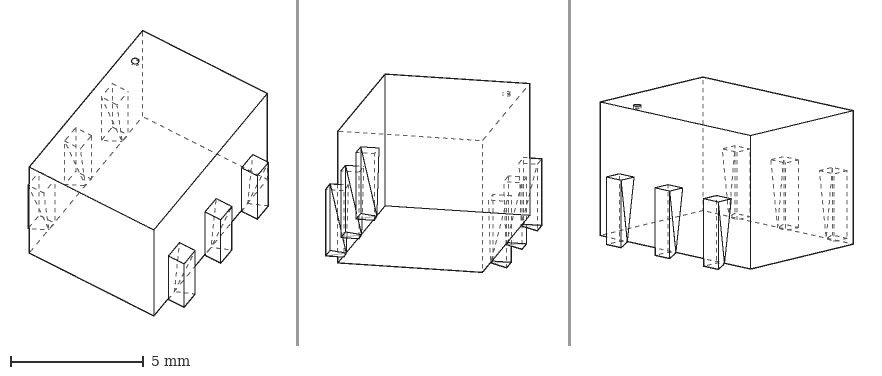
import cadquery as cq

overall_width = 7.01
overall_height = 5.24
housing_width = 5.60
housing_length = 7.87
standoff = 0.06
housing_height = overall_height - standoff

lead_pitch = 2.54
lead_rows = 3
lead_width = 0.77
lead_height = 2.62

corner_shift = 0.355
corner_rise = 0.045

marker_diameter = 0.28
marker_depth = 0.10
marker_x = -2.23
marker_y = lead_pitch


def make_marker():
    return (
        cq.Workplane("XY", origin=(marker_x, marker_y, overall_height - marker_depth))
        .circle(marker_diameter / 2)
        .extrude(marker_depth)
    )


def make_housing(marker):
    block = cq.Workplane("XY", origin=(0, 0, standoff)).box(
        housing_width, housing_length, housing_height, centered=(True, True, False)
    )
    return block.cut(marker)


def flat_face(*corners):
    return cq.Face.makeFromWires(cq.Wire.makePolygon(list(corners), close=True))


def make_lead():
    """Lead on the -X side, centred on Y = 0, with its lower -Y inner corner displaced."""
    outer_x = -overall_width / 2
    inner_x = -housing_width / 2
    front_y = -lead_width / 2
    back_y = lead_width / 2

    top_outer_front = cq.Vector(outer_x, front_y, lead_height)
    top_outer_back = cq.Vector(outer_x, back_y, lead_height)
    top_inner_front = cq.Vector(inner_x, front_y, lead_height)
    top_inner_back = cq.Vector(inner_x, back_y, lead_height)
    low_outer_front = cq.Vector(outer_x, front_y, 0)
    low_outer_back = cq.Vector(outer_x, back_y, 0)
    low_inner_back = cq.Vector(inner_x, back_y, 0)
    moved_corner = cq.Vector(inner_x, front_y + corner_shift, corner_rise)

    faces = [
        flat_face(top_outer_front, top_inner_front, top_inner_back, top_outer_back),
        flat_face(top_outer_front, top_outer_back, low_outer_back, low_outer_front),
        flat_face(top_outer_back, top_inner_back, low_inner_back, low_outer_back),
        flat_face(top_inner_front, moved_corner, low_inner_back, top_inner_back),
        flat_face(top_outer_front, moved_corner, top_inner_front),
        flat_face(top_outer_front, low_outer_front, moved_corner),
        flat_face(low_outer_front, low_outer_back, moved_corner),
        flat_face(low_outer_back, low_inner_back, moved_corner),
    ]
    return cq.Workplane(cq.Solid.makeSolid(cq.Shell.makeShell(faces)))


def make_leads():
    """Both rows of leads; the +X row is the -X row turned half a turn about Z."""
    leads = []
    for turn in (0, 180):
        for row in range(lead_rows):
            row_y = (row - (lead_rows - 1) / 2) * lead_pitch
            lead = make_lead().rotate((0, 0, 0), (0, 0, 1), turn).translate((0, row_y, 0))
            leads.append(lead.val())
    return leads


marker = make_marker()
housing = make_housing(marker)
leads = make_leads()

result = cq.Compound.makeCompound([housing.val(), marker.val(), *leads])